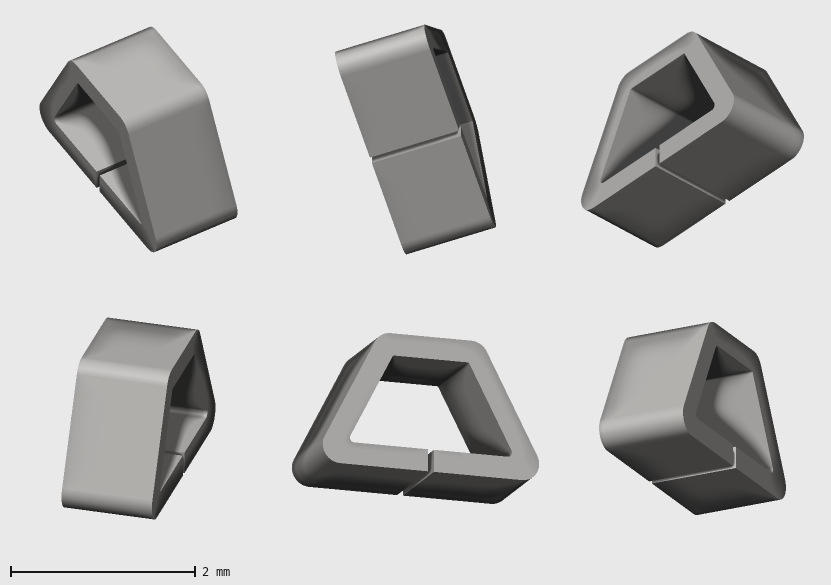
import cadquery as cq

width = 2.49
depth = 1.02
height = 1.52

wall = 0.25
outer_radius = 0.2
inner_bottom_radius = 0.05
inner_top_radius = 0.025
top_flat = 0.931
gap = 0.067


def trapezoid():
    """Trapezoid through the centres of the four outer corner arcs, in the XZ plane."""
    half_bottom = width / 2 - outer_radius
    half_top = top_flat / 2
    low = outer_radius
    high = height - outer_radius
    return (
        cq.Workplane("XZ", origin=(0, depth / 2, 0))
        .moveTo(-half_bottom, low)
        .lineTo(half_bottom, low)
        .lineTo(half_top, high)
        .lineTo(-half_top, high)
        .close()
    )


body = trapezoid().offset2D(outer_radius).extrude(depth)

opening = trapezoid().offset2D(outer_radius - wall).extrude(depth)
opening = opening.faces("<Z").edges("|Y").fillet(inner_bottom_radius)
opening = opening.faces(">Z").edges("|Y").fillet(inner_top_radius)

slit = cq.Workplane("XY").box(gap, depth, wall, centered=(True, True, False))

result = body.cut(opening).cut(slit)